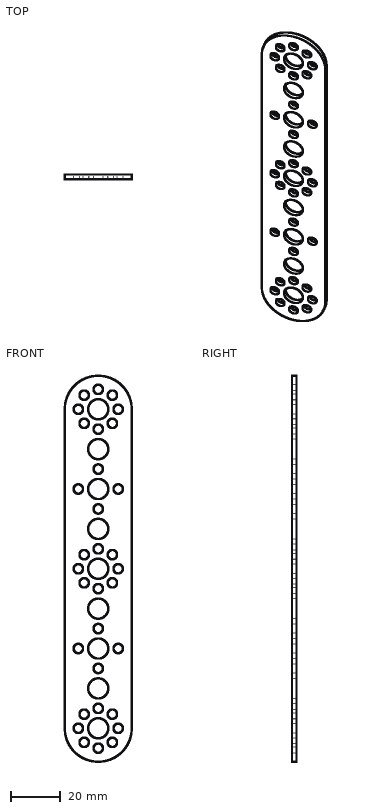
import cadquery as cq
import math

width = 27.0
thickness = 2.0
pitch = 16.0
large_hole_count = 9
large_hole_diameter = 8.0
small_hole_diameter = 3.7
ring_radius = pitch / 2
ring_hole_count = 8

center_span = (large_hole_count - 1) * pitch
length = center_span + width
ring_centers = [-center_span / 2, 0.0, center_span / 2]
pair_centers = [-center_span / 4, center_span / 4]


def large_hole_points():
    """Row of large holes along the centerline."""
    return [(0.0, -center_span / 2 + i * pitch) for i in range(large_hole_count)]


def midway_points():
    """Small holes on the centerline between neighboring large holes."""
    return [(0.0, z + pitch / 2) for _, z in large_hole_points()[:-1]]


def end_points():
    """Small holes on the centerline beyond the two outermost large holes."""
    outer = center_span / 2 + ring_radius
    return [(0.0, -outer), (0.0, outer)]


def ring_points(center_z):
    """Small holes of a ring, less the two on the centerline."""
    points = []
    for i in range(ring_hole_count):
        angle = 2 * math.pi * i / ring_hole_count
        on_centerline = i % (ring_hole_count // 2) == ring_hole_count // 4
        if not on_centerline:
            points.append((ring_radius * math.cos(angle), center_z + ring_radius * math.sin(angle)))
    return points


def pair_points(center_z):
    """Small holes on both sides of a large hole."""
    return [(-ring_radius, center_z), (ring_radius, center_z)]


def plate():
    """Flat bar with fully rounded ends, centered on the origin."""
    outline = cq.Workplane("XZ").slot2D(length, width, 90)
    return outline.extrude(thickness / 2, both=True)


def pins(points, diameter):
    """Cutting cylinders that pass through the plate."""
    return cq.Workplane("XZ").pushPoints(points).circle(diameter / 2).extrude(thickness, both=True)


small_hole_points = midway_points() + end_points()
for ring_z in ring_centers:
    small_hole_points += ring_points(ring_z)
for pair_z in pair_centers:
    small_hole_points += pair_points(pair_z)

result = plate()
result = result.cut(pins(large_hole_points(), large_hole_diameter))
result = result.cut(pins(small_hole_points, small_hole_diameter))